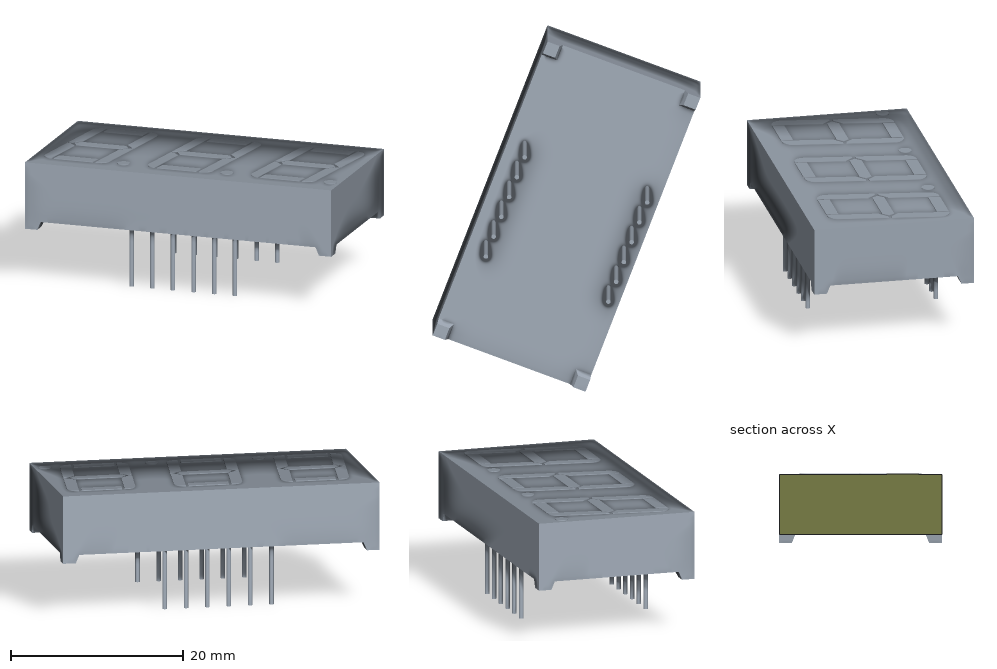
import cadquery as cq
import math


length = 37.6
width = 19.0
total_height = 14.4
housing_height = 8.0
foot_height = 0.98
foot_base = 1.5
foot_root = 1.9

pin_diameter = 0.53
pins_per_row = 6
row_spacing = 15.23
pin_pitch = row_spacing / 6

raised_height = 0.1
digit_count = 3
digit_pitch = 5 * pin_pitch
slant = math.tan(math.radians(8))
digit_half_width = 4.05
digit_half_height = 7.05
corner_radius = 1.2
upright_inner = 2.7
upright_tip = 3.7
upright_tip_height = 0.2
upright_shoulder_height = 1.13
bar_half_length = 2.4
bar_thickness = 1.4
middle_half_length = 3.3
middle_shoulder = 2.75

dot_diameter = 1.5
dot_x = 4.93
dot_y = -6.35

pin_bottom = housing_height + raised_height - total_height


def notch(plane, span, depth):
    """Trapezoidal channel through the underside, leaving a foot at each end of the span."""
    bottom = span / 2 - foot_base
    top = span / 2 - foot_root
    outline = [(-bottom, 0), (bottom, 0), (top, foot_height), (-top, foot_height)]
    return cq.Workplane(plane).polyline(outline).close().extrude(depth / 2, both=True)


def make_housing():
    block = cq.Workplane("XY").box(length, width, housing_height, centered=(True, True, False))
    return block.cut(notch("XZ", length, width)).cut(notch("YZ", width, length))


def make_pins():
    return (
        cq.Workplane("XY", origin=(0, 0, pin_bottom))
        .rarray(pin_pitch, row_spacing, pins_per_row, 2)
        .circle(pin_diameter / 2)
        .extrude(foot_height - pin_bottom)
    )


def slanted_plate(upright_points):
    """Raised plate on the top face from an upright outline leaned to the right."""
    outline = [(x + slant * y, y) for x, y in upright_points]
    top = cq.Workplane("XY", origin=(0, 0, housing_height))
    return top.polyline(outline).close().extrude(raised_height)


def make_digit():
    right = digit_half_width
    top = digit_half_height
    envelope = slanted_plate([(-right, -top), (right, -top), (right, top), (-right, top)])
    envelope = envelope.edges("|Z").fillet(corner_radius)

    middle_half = bar_thickness / 2
    digit = slanted_plate([
        (-middle_half_length, 0),
        (-middle_shoulder, middle_half),
        (middle_shoulder, middle_half),
        (middle_half_length, 0),
        (middle_shoulder, -middle_half),
        (-middle_shoulder, -middle_half),
    ])

    upright = [
        (upright_inner, top),
        (right, top),
        (right, upright_tip_height),
        (upright_tip, upright_tip_height),
        (upright_inner, upright_shoulder_height),
    ]
    bar = [
        (-bar_half_length, top),
        (bar_half_length, top),
        (bar_half_length, top - bar_thickness),
        (-bar_half_length, top - bar_thickness),
    ]
    for y_side in (-1, 1):
        digit = digit.union(slanted_plate([(x, y_side * y) for x, y in bar]))
        for x_side in (-1, 1):
            segment = slanted_plate([(x_side * x, y_side * y) for x, y in upright])
            digit = digit.union(segment.intersect(envelope))
    return digit


def make_dot():
    top = cq.Workplane("XY", origin=(dot_x, dot_y, housing_height))
    return top.circle(dot_diameter / 2).extrude(raised_height)


result = make_housing().union(make_pins())
digit_with_dot = make_digit().union(make_dot())
for index in range(digit_count):
    digit_x = (index - (digit_count - 1) / 2) * digit_pitch
    result = result.union(digit_with_dot.translate((digit_x, 0, 0)))